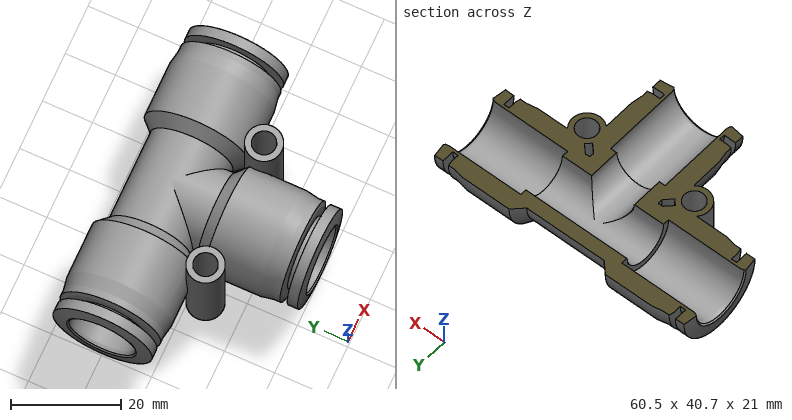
import cadquery as cq
port_reach = 30.25

body_radius = 10.495
body_tip_radius = 10.05
end_cone_radius = 9.0
core_radius = 8.2

end_cone_at = 3.6
body_tip_at = 3.9
tip_taper_at = 5.2
full_body_at = 7.75
shoulder_at = 18.75
core_at = shoulder_at + body_radius - core_radius

sleeve_radius = 9.9
sleeve_neck_radius = 7.2
sleeve_edge_at = 0.4
sleeve_back_at = 2.5

flow_radius = 5.1
socket_radius = 6.5
socket_depth = 18.15
mouth_radius = 6.95
lead_in_radius = 6.65
lead_in_length = 0.65
lead_in_at = mouth_radius - lead_in_radius

post_offset = 12.8
post_radius = 3.55
post_hole_radius = 2.3
post_height = 2 * body_radius

port_angles = (0, 180, 270)


def revolved_along_x(profile):
    """Solid of revolution about X from (distance from mouth, radius) points."""
    deepest_at = profile[-1][0]
    mouth_at = profile[0][0]
    outline = [(port_reach - mouth_at, 0)]
    outline += [(port_reach - depth, radius) for depth, radius in profile]
    outline += [(port_reach - deepest_at, 0)]
    return cq.Workplane("XY").polyline(outline).close().revolve(360, (0, 0, 0), (1, 0, 0))


def at_every_port(shape):
    """Union of copies of a +X port shape turned to all three port directions."""
    copies = cq.Workplane("XY")
    for angle in port_angles:
        copies = copies.union(shape.rotate((0, 0, 0), (0, 0, 1), angle))
    return copies


def port_exterior():
    return revolved_along_x([
        (0, mouth_radius),
        (sleeve_edge_at, sleeve_radius),
        (sleeve_back_at, sleeve_radius),
        (sleeve_back_at, sleeve_neck_radius),
        (end_cone_at, sleeve_neck_radius),
        (end_cone_at, end_cone_radius),
        (body_tip_at, body_tip_radius),
        (tip_taper_at, body_tip_radius),
        (full_body_at, body_radius),
        (shoulder_at, body_radius),
        (core_at, core_radius),
        (port_reach, core_radius),
    ])


def port_bore():
    return revolved_along_x([
        (0, mouth_radius),
        (lead_in_at, lead_in_radius),
        (lead_in_at + lead_in_length, socket_radius),
        (socket_depth, socket_radius),
        (socket_depth, flow_radius),
        (port_reach, flow_radius),
    ])


def post_cylinders(radius):
    centres = [(side * post_offset, -post_offset) for side in (-1, 1)]
    return (
        cq.Workplane("XY")
        .workplane(offset=-post_height / 2)
        .pushPoints(centres)
        .circle(radius)
        .extrude(post_height)
    )


exterior = at_every_port(port_exterior()).union(post_cylinders(post_radius))
result = exterior.cut(at_every_port(port_bore())).cut(post_cylinders(post_hole_radius))